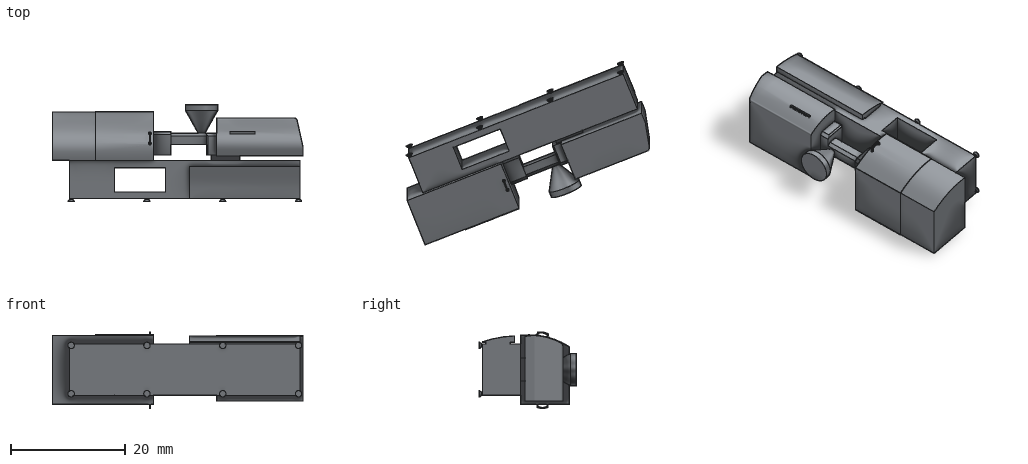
import cadquery as cq
import math


machine_length = 43.6
machine_height = 16.92

base_x0 = 2.95
base_x1 = 43.12
base_bottom = 0.55
base_top = 7.2
base_half_width = 4.47
window_x0 = 10.83
window_x1 = 19.63
window_y0 = 1.7
window_y1 = 5.9

panel_x0 = 23.83
panel_top = 6.17
panel_standoff = 0.28
panel_edge_thickness = 0.1
panel_crown_y = 7.0
panel_crown_z = 5.9
neck_y0 = 1.12
neck_y1 = 5.45

foot_inset_x = 0.3
foot_inset_z = 0.26
feet_per_row = 4
foot_rim_radius = 0.56
foot_rim_height = 0.08
foot_neck_radius = 0.32
foot_pad_height = 0.38
stem_radius = 0.1

door_start = 7.5
clamp_end = 17.6
door_top = 15.75
cover_side_z = -6.07
crown_y = 8.6
crown_z = 6.07
door_shoulder_z = 3.97
door_thickness = 0.1

handle_x = 16.95
handle_y = 11.02
handle_half_span = 0.98
handle_height = 0.7
handle_shoulder_height = 0.52
handle_bar = 0.2
handle_foot_radius = 0.25
handle_foot_height = 0.05
handle_root = 0.2

platen_half_width = 1.5
platen_x1 = 20.6
platen_bottom = 8.12
platen_top = 12.19
top_chamfer = 0.52

barrel_top = 11.93
barrel_height = 1.97
barrel_half_width = 1.4
block_x0 = 26.83
block_half_width = 3.0
block_front_chamfer = 0.26
pedestal_x0 = 27.63
pedestal_x1 = 32.62
pedestal_half_width = 2.0

hopper_x = 25.95
hopper_radius = 2.82
hopper_rim_height = 1.05
hopper_outlet_radius = 0.6

shroud_x0 = 28.55
shroud_bottom = 8.0
shroud_top = 14.6
shroud_side_z = -5.5
shroud_crown_y = 9.6
shroud_crown_z = 5.92
shroud_shoulder_y = 14.16
shroud_shoulder_z = 4.65
shroud_round_radius = 0.75
end_slope_y0 = 9.64
end_slope_run = 1.1
end_round_radius = 0.6
slot_x0 = 30.9
slot_x1 = 35.23
slot_y0 = 11.8
slot_y1 = 12.19
slot_floor_z = 5.3


def box(x0, x1, y0, y1, z0, z1):
    """Block between two opposite corners."""
    return cq.Workplane("XY").box(x1 - x0, y1 - y0, z1 - z0, centered=False).translate((x0, y0, z0))


def crown_radius(run, drop):
    """Radius of an arc that falls by drop at a distance run from its crown."""
    return (run**2 + drop**2) / (2 * drop)


def crown_height(y, center_y, crown, radius):
    """Z of a crowned arc at position y."""
    return crown - radius + math.sqrt(radius**2 - (y - center_y) ** 2)


def make_panel():
    neck_z = base_half_width + panel_standoff
    edge_z = neck_z + panel_edge_thickness
    radius = crown_radius(panel_crown_y - base_bottom, panel_crown_z - edge_z)
    upper_z = crown_height(panel_top, panel_crown_y, panel_crown_z, radius)
    mid_y = (base_bottom + panel_top) / 2
    mid_z = crown_height(mid_y, panel_crown_y, panel_crown_z, radius)
    panel = (
        cq.Workplane("YZ", origin=(panel_x0, 0, 0))
        .moveTo(base_bottom, neck_z)
        .lineTo(base_bottom, edge_z)
        .threePointArc((mid_y, mid_z), (panel_top, upper_z))
        .lineTo(panel_top, neck_z)
        .close()
        .extrude(base_x1 - panel_x0)
    )
    neck = box(panel_x0, base_x1, neck_y0, neck_y1, base_half_width, neck_z)
    return panel.union(neck)


def make_foot(x, z):
    """Conical pad on a thin stem, standing at y = 0 and reaching the base."""
    return (
        cq.Workplane("XY")
        .polyline([
            (0, 0),
            (foot_rim_radius, 0),
            (foot_rim_radius, foot_rim_height),
            (foot_neck_radius, foot_pad_height),
            (stem_radius, foot_pad_height),
            (stem_radius, base_bottom),
            (0, base_bottom),
        ])
        .close()
        .revolve(360, (0, 0), (0, 1))
        .translate((x, 0, z))
    )


def make_base():
    body = box(base_x0, base_x1, base_bottom, base_top, -base_half_width, base_half_width)
    body = body.cut(box(window_x0, window_x1, window_y0, window_y1, -base_half_width, base_half_width))
    body = body.union(make_panel())
    first_foot_x = base_x0 + foot_inset_x
    foot_pitch = (base_x1 - base_x0 - 2 * foot_inset_x) / (feet_per_row - 1)
    foot_z = base_half_width - foot_inset_z
    for i in range(feet_per_row):
        for z in (-foot_z, foot_z):
            body = body.union(make_foot(first_foot_x + i * foot_pitch, z))
    return body


door_radius = crown_radius(door_top - crown_y, crown_z - door_shoulder_z)


def make_crowned_cover(x0, x1, inset):
    """Cover with an arched operator side; inset shrinks its top and arched side."""
    top = door_top - inset
    radius = door_radius - inset
    crown = crown_z - inset

    def arc_point(y):
        return (y, crown_height(y, crown_y, crown, radius))

    return (
        cq.Workplane("YZ", origin=(x0, 0, 0))
        .moveTo(base_top, cover_side_z)
        .lineTo(top, cover_side_z)
        .lineTo(*arc_point(top))
        .threePointArc(arc_point((top + base_top) / 2), arc_point(base_top))
        .close()
        .extrude(x1 - x0)
    )


def make_handle():
    """Arched bar on two round feet, standing on z = 0 and centred on x = y = 0."""
    inner_half_span = handle_half_span - handle_bar
    inner_shoulder = handle_shoulder_height - handle_bar
    bar = (
        cq.Workplane("YZ", origin=(-handle_bar / 2, 0, 0))
        .moveTo(-handle_half_span, -handle_root)
        .lineTo(-handle_half_span, handle_shoulder_height)
        .threePointArc((0, handle_height), (handle_half_span, handle_shoulder_height))
        .lineTo(handle_half_span, -handle_root)
        .lineTo(inner_half_span, -handle_root)
        .lineTo(inner_half_span, inner_shoulder)
        .threePointArc((0, handle_height - handle_bar), (-inner_half_span, inner_shoulder))
        .lineTo(-inner_half_span, -handle_root)
        .close()
        .extrude(handle_bar)
    )
    leg_y = handle_half_span - handle_bar / 2
    feet = (
        cq.Workplane("XY", origin=(0, 0, -handle_root))
        .pushPoints([(0, -leg_y), (0, leg_y)])
        .circle(handle_foot_radius)
        .extrude(handle_root + handle_foot_height)
    )
    return bar.union(feet)


def make_housing():
    """Full-length housing that fills the door shell; one handle stands on its flat side."""
    handle = make_handle().rotate((0, 0, 0), (1, 0, 0), 180).translate((handle_x, handle_y, cover_side_z))
    return make_crowned_cover(0, clamp_end, door_thickness).union(handle)


def make_door():
    """Thin shell over the housing, with a handle square to its arched surface."""
    surface_z = crown_height(handle_y, crown_y, crown_z, door_radius)
    surface_tilt = math.degrees(math.asin((handle_y - crown_y) / door_radius))
    handle = make_handle().rotate((0, 0, 0), (1, 0, 0), -surface_tilt)
    handle = handle.translate((handle_x, handle_y, surface_z))
    door = make_crowned_cover(door_start, clamp_end, 0).union(handle)
    return door.cut(make_crowned_cover(door_start, clamp_end, door_thickness))


def make_platen():
    platen = box(clamp_end, platen_x1, platen_bottom, platen_top, -platen_half_width, platen_half_width)
    return platen.faces(">Y").edges("|X").chamfer(top_chamfer)


def make_injection_unit():
    barrel_bottom = barrel_top - barrel_height
    barrel = box(platen_x1, block_x0, barrel_bottom, barrel_top, -barrel_half_width, barrel_half_width)
    barrel = barrel.faces(">Y").edges("|X").chamfer(top_chamfer)
    block = box(block_x0, shroud_x0, platen_bottom, barrel_top, -block_half_width, block_half_width)
    block = block.faces(">Y").edges("|X").chamfer(top_chamfer)
    block = block.faces("<X").edges("|Y").chamfer(block_front_chamfer)
    front_post = box(
        pedestal_x0, shroud_x0, base_top, platen_bottom, -pedestal_half_width, pedestal_half_width
    )
    pedestal = box(
        pedestal_x0, pedestal_x1, base_top, shroud_bottom, -pedestal_half_width, pedestal_half_width
    )
    return block.union(barrel).union(pedestal).union(front_post)


def make_hopper():
    cone_top = machine_height - hopper_rim_height
    return (
        cq.Workplane("ZY")
        .polyline([
            (0, barrel_top),
            (hopper_outlet_radius, barrel_top),
            (hopper_radius, cone_top),
            (hopper_radius, machine_height),
            (0, machine_height),
        ])
        .close()
        .revolve(360, (0, 0), (0, 1))
        .translate((hopper_x, 0, 0))
    )


def make_injection_cover():
    radius = crown_radius(shroud_shoulder_y - shroud_crown_y, shroud_crown_z - shroud_shoulder_z)
    edge_z = crown_height(shroud_bottom, shroud_crown_y, shroud_crown_z, radius)
    round_center_y = shroud_top - shroud_round_radius
    round_start = math.acos((shroud_shoulder_y - round_center_y) / shroud_round_radius)
    round_center_z = shroud_shoulder_z - shroud_round_radius * math.sin(round_start)
    round_mid_y = round_center_y + shroud_round_radius * math.cos(round_start / 2)
    round_mid_z = round_center_z + shroud_round_radius * math.sin(round_start / 2)
    arched = (
        cq.Workplane("YZ", origin=(shroud_x0, 0, 0))
        .moveTo(shroud_bottom, shroud_side_z)
        .lineTo(shroud_bottom, edge_z)
        .threePointArc((shroud_crown_y, shroud_crown_z), (shroud_shoulder_y, shroud_shoulder_z))
        .threePointArc((round_mid_y, round_mid_z), (shroud_top, round_center_z))
        .lineTo(shroud_top, shroud_side_z)
        .close()
        .extrude(machine_length - shroud_x0)
    )
    side_outline = (
        cq.Workplane("XY", origin=(0, 0, shroud_side_z))
        .polyline([
            (shroud_x0, shroud_bottom),
            (machine_length, shroud_bottom),
            (machine_length, end_slope_y0),
            (machine_length - end_slope_run, shroud_top),
            (shroud_x0, shroud_top),
        ])
        .close()
        .extrude(shroud_crown_z - shroud_side_z)
        .faces(">Y")
        .edges(">X")
        .fillet(end_round_radius)
    )
    slot = box(slot_x0, slot_x1, slot_y0, slot_y1, slot_floor_z, shroud_crown_z)
    return arched.intersect(side_outline).cut(slot)


base = make_base()
housing = make_housing()
door = make_door()
platen = make_platen()
injection_unit = make_injection_unit()
hopper = make_hopper()
injection_cover = make_injection_cover()

result = cq.Compound.makeCompound([
    base.val(),
    housing.val(),
    door.val(),
    platen.val(),
    injection_unit.val(),
    hopper.val(),
    injection_cover.val(),
])